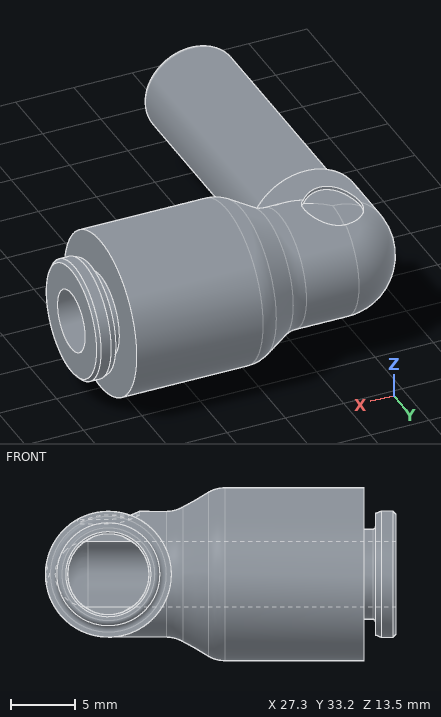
import cadquery as cq
import math


length_x = 27.3
length_y = 33.15

elbow_radius = 4.9
leg_end = 5.0

socket_radius = 13.5 / 2
socket_start = 9.08
socket_end = 19.92
blend_radius = 2.6
cone_angle = math.radians(30)

stem_radius = 4.0
stem_end = length_y - socket_radius
stem_root_fillet = 0.5
stem_tip_fillet = 0.4

stem_bore_tip_radius = 3.3
stem_bore_root_radius = 3.15
run_bore_radius = 2.55
run_bore_start = -1.6

recess_radius = 2.42
recess_depth = 0.3

dimple_radius = 0.95
dimple_depth = 0.33

button_end = length_x - elbow_radius
button_neck_radius = 3.5
button_head_radius = 4.95
button_head_start = 20.8
neck_root_fillet = 0.2
head_taper_length = 0.5
head_taper_rise = 0.2
head_rim_chamfer = 0.25


def run_cylinder(radius, start, end):
    """Cylinder along the X axis."""
    return cq.Workplane("YZ", origin=(start, 0, 0)).circle(radius).extrude(end - start)


def leg_cylinder(radius, start, end):
    """Cylinder along the Y axis; start and end are distances toward -Y."""
    return cq.Workplane("XZ", origin=(0, -start, 0)).circle(radius).extrude(end - start)


def elbow_form(radius):
    """Ball corner with a mitred run and leg of the same radius."""
    ball = cq.Workplane("XY").sphere(radius)
    run = run_cylinder(radius, 0, socket_start)
    return ball.union(run).union(leg_cylinder(radius, 0, leg_end))


def make_socket():
    """Revolved socket whose cone joins the run through two tangent arcs."""
    arc_length = blend_radius * math.sin(cone_angle)
    arc_rise = blend_radius * (1 - math.cos(cone_angle))
    cone_rise = socket_radius - elbow_radius - 2 * arc_rise
    cone_end = socket_start - arc_length
    cone_start = cone_end - cone_rise / math.tan(cone_angle)
    blend_start = cone_start - arc_length

    half_length = blend_radius * math.sin(cone_angle / 2)
    half_rise = blend_radius * (1 - math.cos(cone_angle / 2))
    return (
        cq.Workplane("XY")
        .moveTo(0, 0)
        .lineTo(0, elbow_radius)
        .lineTo(blend_start, elbow_radius)
        .threePointArc((blend_start + half_length, elbow_radius + half_rise),
                       (cone_start, elbow_radius + arc_rise))
        .lineTo(cone_end, socket_radius - arc_rise)
        .threePointArc((socket_start - half_length, socket_radius - half_rise),
                       (socket_start, socket_radius))
        .lineTo(socket_end, socket_radius)
        .lineTo(socket_end, 0)
        .close()
        .revolve(360, (0, 0, 0), (1, 0, 0))
    )


def make_stem():
    """Stem with a rounded tip and a concave fillet at the leg's end face."""
    diagonal = math.sqrt(0.5)
    root_center = (stem_radius + stem_root_fillet, -leg_end - stem_root_fillet)
    tip_center = (stem_radius - stem_tip_fillet, -stem_end + stem_tip_fillet)
    return (
        cq.Workplane("XY")
        .moveTo(0, 0)
        .lineTo(stem_radius, 0)
        .lineTo(stem_radius, -leg_end)
        .lineTo(root_center[0], -leg_end)
        .threePointArc((root_center[0] - diagonal * stem_root_fillet,
                        root_center[1] + diagonal * stem_root_fillet),
                       (stem_radius, root_center[1]))
        .lineTo(stem_radius, tip_center[1])
        .threePointArc((tip_center[0] + diagonal * stem_tip_fillet,
                        tip_center[1] - diagonal * stem_tip_fillet),
                       (tip_center[0], -stem_end))
        .lineTo(0, -stem_end)
        .close()
        .revolve(360, (0, 0, 0), (0, 1, 0))
    )


def make_passage():
    """Tapered stem bore meeting the round-ended run bore."""
    stem_bore = (
        cq.Workplane("XY")
        .polyline([(0, 0), (stem_bore_root_radius, 0),
                   (stem_bore_tip_radius, -stem_end), (0, -stem_end)])
        .close()
        .revolve(360, (0, 0, 0), (0, 1, 0))
    )
    bore_end = cq.Workplane("XY").sphere(run_bore_radius).translate((run_bore_start, 0, 0))
    run_bore = run_cylinder(run_bore_radius, run_bore_start, socket_end)
    return stem_bore.union(run_bore).union(bore_end)


def make_top_recess():
    """Disc-shaped recess whose floor follows the elbow surface at a constant depth."""
    column = cq.Workplane("XY").circle(recess_radius).extrude(elbow_radius)
    return column.cut(elbow_form(elbow_radius - recess_depth))


def make_dimple():
    """Cone with its apex inside the wall, continued past the elbow surface to twice its depth."""
    base_x = -elbow_radius - dimple_depth
    return (
        cq.Workplane("XY")
        .polyline([(dimple_depth - elbow_radius, 0), (base_x, 0), (base_x, 2 * dimple_radius)])
        .close()
        .revolve(360, (0, 0, 0), (1, 0, 0))
    )


def make_housing():
    """Elbow, socket and stem in one piece."""
    body = elbow_form(elbow_radius).union(make_socket()).union(make_stem())
    return body.cut(make_passage()).cut(make_top_recess()).cut(make_dimple())


def make_button():
    """Flanged release button resting on the socket's end face."""
    fillet_center = (button_head_start - neck_root_fillet, button_neck_radius + neck_root_fillet)
    diagonal = math.sqrt(0.5) * neck_root_fillet
    return (
        cq.Workplane("XY")
        .moveTo(socket_end, run_bore_radius)
        .lineTo(socket_end, button_neck_radius)
        .lineTo(fillet_center[0], button_neck_radius)
        .threePointArc((fillet_center[0] + diagonal, fillet_center[1] - diagonal),
                       (button_head_start, fillet_center[1]))
        .lineTo(button_head_start, button_head_radius - head_taper_rise)
        .lineTo(button_head_start + head_taper_length, button_head_radius)
        .lineTo(button_end - head_rim_chamfer, button_head_radius)
        .lineTo(button_end, button_head_radius - head_rim_chamfer)
        .lineTo(button_end, run_bore_radius)
        .close()
        .revolve(360, (0, 0, 0), (1, 0, 0))
    )


housing = make_housing()
button = make_button()

result = cq.Compound.makeCompound([housing.val(), button.val()])